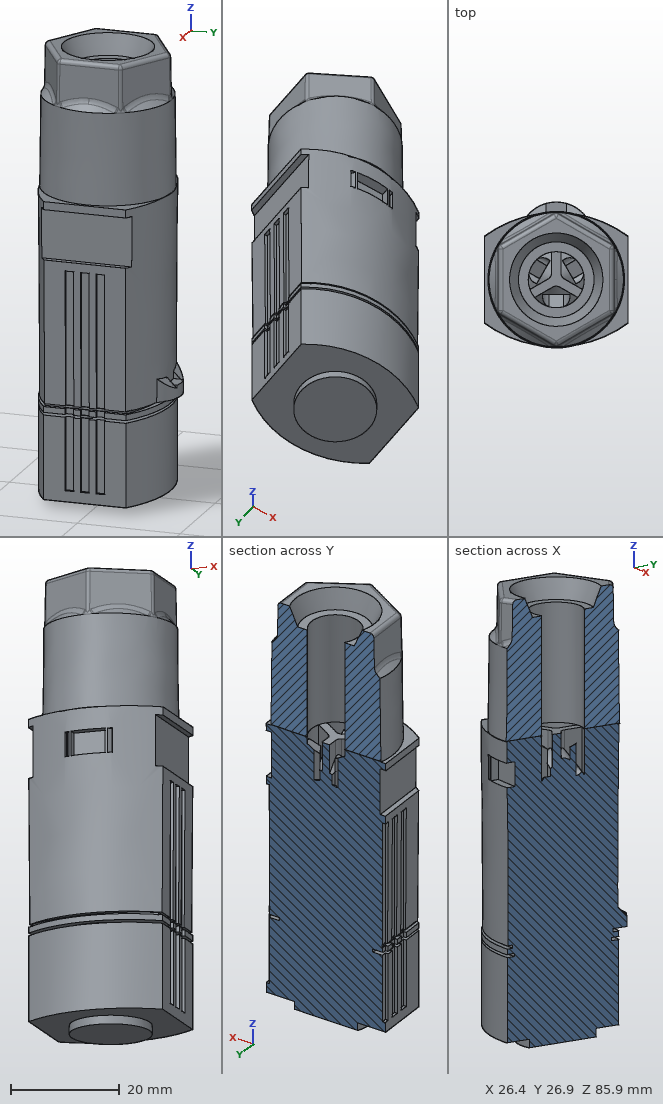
import cadquery as cq
import math

TOTAL_HEIGHT = 85.85
BASE_Z = 1.6
LOWER_GROOVE_Z = 17.9
UPPER_GROOVE_Z = 19.6
GROOVE_HEIGHT = 0.5
SLEEVE_BOTTOM_Z = UPPER_GROOVE_Z + GROOVE_HEIGHT
SLEEVE_TOP_Z = 59.1

NUT_BASE_RADIUS = 12.58
NUT_SHOULDER_RADIUS = 12.4
SHOULDER_Z = 76.8
HEX_HALF_WIDTH = 10.77
HEX_SIDES = 6
HEX_DRAFT = 1.0
HEX_CORNER_RADIUS = 0.8
HEX_TOP_FILLET = 0.9
SHOULDER_FILLET = 1.5
BAND_MARGIN = 0.4
MOUTH_TOP_RADIUS = 8.6
MOUTH_FLOOR_RADIUS = 6.95
MOUTH_DEPTH = 3.9
BORE_RADIUS = 5.15

SLEEVE_HALF_X = 13.2
SLEEVE_HALF_Y = 12.4
GRIP_HALF_X = 13.1
GRIP_HALF_Y = 12.3
FLAT_HALF_LENGTH = 8.0
SLEEVE_DRAFT = 0.35
UPPER_CORE_HALF_X = 12.4
UPPER_CORE_HALF_Y = 11.1
LOWER_CORE_RADIUS = 10.8
BASE_TUBE_RADIUS = 7.6

RECESS_HALF_X = 12.0
RECESS_BOTTOM_Z = 47.8
RECESS_TOP_Z = 57.5

BRIDGE_HALF_X = 12.4
BRIDGE_WIDTH = 2.2

SLOT_COUNT = 3
SLOT_PITCH = 3.0
SLOT_WIDTH = 1.6
SLOT_DEPTH = 0.6
SLOT_BOTTOM_Z = 3.8
SLOT_TOP_Z = 46.1

WINDOW_BOTTOM_Z = 50.3
WINDOW_TOP_Z = 54.95
WINDOW_HALF_WIDTH = 3.35
WINDOW_FLOOR_Y = -10.5
NOTCH_INNER_X = 3.8
NOTCH_OUTER_X = 4.6
NOTCH_ROOT_X = 4.4
NOTCH_ROOT_Y = -11.0
NOTCH_CREST_Y = -11.9

LUG_RADIUS = 6.9
LUG_TIP_Y = 14.29
LUG_LEDGE_Z = 22.6
LUG_RAMP_START_Y = 13.5
LUG_NOTCH_HALF_WIDTH = 1.9

CAVITY_DEPTH = 8.6
CONE_HEIGHT = 6.9
ARM_COUNT = 3
ARM_PITCH = 360.0 / ARM_COUNT
ARM_WIDTH = 1.7
WEB_FILLET = 1.3
FINGER_WIDTH = 2.75
FINGER_INNER_RADIUS = 2.75
CHANNEL_WIDTH = 5.0
FINGER_TOP_DROP = 1.3
FINGER_SLOPE = 35.0
CHANNEL_ROUNDING = 1.3

OVERCUT = 0.9


def cylinder(radius, bottom_z, top_z):
    return cq.Workplane("XY").workplane(offset=bottom_z).circle(radius).extrude(top_z - bottom_z)


def box_between(x_range, y_range, z_range):
    size = [high - low for low, high in (x_range, y_range, z_range)]
    return cq.Workplane("XY").box(*size, centered=False).translate((x_range[0], y_range[0], z_range[0]))


def level_band(bottom_z, top_z):
    """Selects edges centered between two levels."""
    reach = NUT_BASE_RADIUS
    return cq.selectors.BoxSelector((-reach, -reach, bottom_z), (reach, reach, top_z))


def lens_outline(z, half_x, half_y):
    return (
        cq.Workplane("XY").workplane(offset=z)
        .moveTo(half_x, -FLAT_HALF_LENGTH)
        .lineTo(half_x, FLAT_HALF_LENGTH)
        .threePointArc((0, half_y), (-half_x, FLAT_HALF_LENGTH))
        .lineTo(-half_x, -FLAT_HALF_LENGTH)
        .threePointArc((0, -half_y), (half_x, -FLAT_HALF_LENGTH))
        .close()
    )


def nut_barrel():
    """Tapered barrel with a 45 degree shoulder cone running in to the axis."""
    return (
        cq.Workplane("XZ")
        .moveTo(0, SLEEVE_TOP_Z)
        .lineTo(NUT_BASE_RADIUS, SLEEVE_TOP_Z)
        .lineTo(NUT_SHOULDER_RADIUS, SHOULDER_Z)
        .lineTo(MOUTH_TOP_RADIUS, SHOULDER_Z + NUT_SHOULDER_RADIUS - MOUTH_TOP_RADIUS)
        .lineTo(0, SHOULDER_Z + NUT_SHOULDER_RADIUS - MOUTH_TOP_RADIUS)
        .close()
        .revolve(360, (0, 0, 0), (0, 1, 0))
    )


def nut_hexagon():
    """Drafted hexagon with corners on +Y and -Y, rounded corners and top edge."""
    height = TOTAL_HEIGHT - SHOULDER_Z
    across_corners = 2 * HEX_HALF_WIDTH / math.cos(math.pi / HEX_SIDES)
    corner_edges = level_band(SHOULDER_Z + height / 3, TOTAL_HEIGHT - height / 3)
    return (
        cq.Workplane("XY").workplane(offset=SHOULDER_Z)
        .transformed(rotate=(0, 0, 90))
        .polygon(HEX_SIDES, across_corners)
        .extrude(height, taper=HEX_DRAFT)
        .edges(corner_edges).fillet(HEX_CORNER_RADIUS)
        .faces(">Z").edges().fillet(HEX_TOP_FILLET)
    )


def nut_passage():
    mouth_floor_z = TOTAL_HEIGHT - MOUTH_DEPTH
    return (
        cq.Workplane("XZ")
        .moveTo(0, SLEEVE_TOP_Z)
        .lineTo(BORE_RADIUS, SLEEVE_TOP_Z)
        .lineTo(BORE_RADIUS, mouth_floor_z)
        .lineTo(MOUTH_FLOOR_RADIUS, mouth_floor_z)
        .lineTo(MOUTH_TOP_RADIUS, TOTAL_HEIGHT)
        .lineTo(0, TOTAL_HEIGHT)
        .close()
        .revolve(360, (0, 0, 0), (0, 1, 0))
    )


def make_nut():
    """Hexagon on its barrel, with fillets where the flats meet the shoulder cone."""
    cone_foot_z = SHOULDER_Z + NUT_SHOULDER_RADIUS - HEX_HALF_WIDTH
    flat_to_cone_edges = level_band(SHOULDER_Z + BAND_MARGIN, cone_foot_z)
    nut = nut_barrel().union(nut_hexagon())
    nut = nut.edges(flat_to_cone_edges).fillet(SHOULDER_FILLET)
    return nut.cut(nut_passage())


def housing_shell():
    """Drafted sleeve, ring and lower grip joined by narrower cores, with a tube below."""
    sleeve = lens_outline(SLEEVE_TOP_Z, SLEEVE_HALF_X, SLEEVE_HALF_Y).extrude(
        SLEEVE_BOTTOM_Z - SLEEVE_TOP_Z, taper=SLEEVE_DRAFT)
    ring_bottom_z = LOWER_GROOVE_Z + GROOVE_HEIGHT
    ring = lens_outline(ring_bottom_z, GRIP_HALF_X, GRIP_HALF_Y).extrude(UPPER_GROOVE_Z - ring_bottom_z)
    grip = lens_outline(BASE_Z, GRIP_HALF_X, GRIP_HALF_Y).extrude(LOWER_GROOVE_Z - BASE_Z)
    upper_core = lens_outline(UPPER_GROOVE_Z, UPPER_CORE_HALF_X, UPPER_CORE_HALF_Y).extrude(GROOVE_HEIGHT)
    lower_core = cylinder(LOWER_CORE_RADIUS, LOWER_GROOVE_Z - OVERCUT, UPPER_GROOVE_Z)
    tube = cylinder(BASE_TUBE_RADIUS, 0, BASE_Z + OVERCUT)
    bridge = box_between(
        (-BRIDGE_HALF_X, BRIDGE_HALF_X),
        (-BRIDGE_WIDTH / 2, BRIDGE_WIDTH / 2),
        (LOWER_GROOVE_Z, ring_bottom_z),
    )
    housing = grip.union(tube)
    for part in (lower_core, bridge, ring, upper_core, sleeve):
        housing = housing.union(part)
    return housing


def lug():
    """Round-nosed lug with a ramped top and a flat-floored notch in its middle."""
    center_y = LUG_TIP_Y - LUG_RADIUS
    ramp_height = LUG_RAMP_START_Y - center_y
    nose = cylinder(LUG_RADIUS, SLEEVE_BOTTOM_Z, LUG_LEDGE_Z + ramp_height).translate((0, center_y, 0))
    nose_drop = LUG_TIP_Y - LUG_RAMP_START_Y
    ramp = (
        cq.Workplane("YZ")
        .moveTo(center_y, SLEEVE_BOTTOM_Z)
        .lineTo(LUG_TIP_Y, SLEEVE_BOTTOM_Z)
        .lineTo(LUG_TIP_Y, LUG_LEDGE_Z - nose_drop)
        .lineTo(center_y, LUG_LEDGE_Z + ramp_height)
        .close()
        .extrude(LUG_RADIUS, both=True)
    )
    notch_x = (-LUG_NOTCH_HALF_WIDTH, LUG_NOTCH_HALF_WIDTH)
    notch = box_between(
        notch_x, (SLEEVE_HALF_Y - OVERCUT, LUG_TIP_Y), (LUG_LEDGE_Z, LUG_LEDGE_Z + ramp_height))
    ledge = box_between(notch_x, (center_y, LUG_TIP_Y), (SLEEVE_BOTTOM_Z, LUG_LEDGE_Z))
    return nose.intersect(ramp.union(ledge)).cut(notch)


def side_recesses():
    reach = SLEEVE_HALF_X + OVERCUT
    heights = (RECESS_BOTTOM_Z, RECESS_TOP_Z)
    right = box_between((RECESS_HALF_X, reach), (-reach, reach), heights)
    return right.union(right.mirror("YZ"))


def side_slots():
    slots = cq.Workplane("XY")
    floor_x = GRIP_HALF_X - SLOT_DEPTH
    reach = SLEEVE_HALF_X + OVERCUT
    for index in range(SLOT_COUNT):
        center_y = (index - (SLOT_COUNT - 1) / 2) * SLOT_PITCH
        across = (center_y - SLOT_WIDTH / 2, center_y + SLOT_WIDTH / 2)
        slot = box_between((floor_x, reach), across, (SLOT_BOTTOM_Z, SLOT_TOP_Z))
        slots = slots.add(slot).add(slot.mirror("YZ"))
    return slots.combine()


def window():
    heights = (WINDOW_BOTTOM_Z, WINDOW_TOP_Z)
    outside_y = -SLEEVE_HALF_Y - OVERCUT
    pocket = box_between((-WINDOW_HALF_WIDTH, WINDOW_HALF_WIDTH), (outside_y, WINDOW_FLOOR_Y), heights)
    notch = (
        cq.Workplane("XY").workplane(offset=WINDOW_BOTTOM_Z)
        .moveTo(NOTCH_INNER_X, outside_y)
        .lineTo(NOTCH_OUTER_X, outside_y)
        .lineTo(NOTCH_OUTER_X, NOTCH_ROOT_Y)
        .lineTo(NOTCH_ROOT_X, NOTCH_ROOT_Y)
        .lineTo(NOTCH_INNER_X, NOTCH_CREST_Y)
        .close()
        .extrude(WINDOW_TOP_Z - WINDOW_BOTTOM_Z)
    )
    return pocket.union(notch).union(notch.mirror("YZ"))


def around_axis(shape):
    """Copies of a shape, one per web arm, evenly spaced about the connector axis."""
    copies = shape
    for index in range(1, ARM_COUNT):
        copies = copies.union(shape.rotate((0, 0, 0), (0, 0, 1), index * ARM_PITCH))
    return copies


def web():
    floor_z = SLEEVE_TOP_Z - CAVITY_DEPTH
    arm = box_between((-ARM_WIDTH / 2, ARM_WIDTH / 2), (0, BORE_RADIUS + OVERCUT), (floor_z, SLEEVE_TOP_Z))
    inner_corners = cq.selectors.BoxSelector(
        (-ARM_WIDTH, -ARM_WIDTH, floor_z), (ARM_WIDTH, ARM_WIDTH, SLEEVE_TOP_Z))
    return around_axis(arm).edges("|Z").edges(inner_corners).fillet(WEB_FILLET)


def channel():
    """Round-bottomed radial channel under one finger."""
    return box_between(
        (-CHANNEL_WIDTH / 2, CHANNEL_WIDTH / 2),
        (-BORE_RADIUS, -FINGER_INNER_RADIUS),
        (SLEEVE_TOP_Z - CAVITY_DEPTH, SLEEVE_TOP_Z),
    ).edges("|Y and <Z").fillet(CHANNEL_ROUNDING)


def finger():
    """Upright finger at the cavity wall whose top slopes down towards the axis."""
    floor_z = SLEEVE_TOP_Z - CAVITY_DEPTH
    outer_top_z = SLEEVE_TOP_Z - FINGER_TOP_DROP
    fall = (BORE_RADIUS - FINGER_INNER_RADIUS) * math.tan(math.radians(FINGER_SLOPE))
    return (
        cq.Workplane("YZ")
        .moveTo(-BORE_RADIUS, floor_z)
        .lineTo(-FINGER_INNER_RADIUS, floor_z)
        .lineTo(-FINGER_INNER_RADIUS, outer_top_z - fall)
        .lineTo(-BORE_RADIUS, outer_top_z)
        .close()
        .extrude(FINGER_WIDTH / 2, both=True)
    )


def cable_cavity():
    """Space around the web: conical floor, with a channel and a finger between each pair of arms."""
    floor_z = SLEEVE_TOP_Z - CAVITY_DEPTH
    bore = cylinder(BORE_RADIUS, floor_z, SLEEVE_TOP_Z)
    floor_cone = cq.Workplane(cq.Solid.makeCone(BORE_RADIUS, 0, CONE_HEIGHT)).translate((0, 0, floor_z))
    channels = bore.intersect(around_axis(channel()))
    return bore.cut(floor_cone).union(channels).cut(around_axis(finger())).cut(web())


def make_housing():
    housing = housing_shell().union(lug())
    return housing.cut(side_recesses()).cut(side_slots()).cut(window()).cut(cable_cavity())


nut = make_nut()
housing = make_housing()
result = cq.Compound.makeCompound([nut.solids().val(), housing.solids().val()])